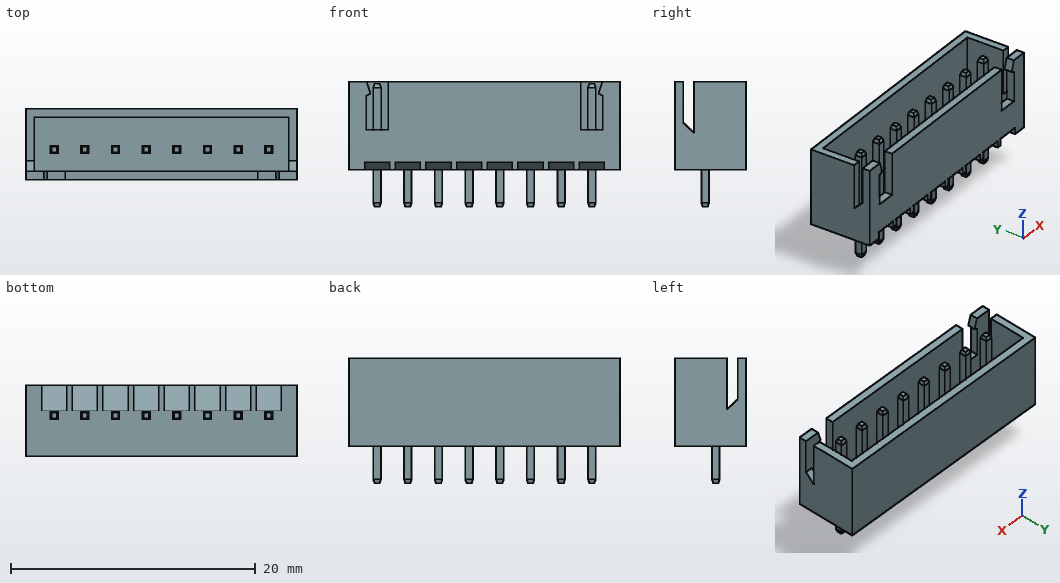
import cadquery as cq

length = 22.17
depth = 5.83
height = 7.2
wall = 0.7
floor_thickness = 0.67

pin_count = 8
pin_pitch = 2.5
pin_y = 2.48
pin_width = 0.65
pin_below = 3.02
pin_top_gap = 0.18
taper_length = 0.33
taper_inset = 0.1

slot_outer = 1.45
slot_inner = 3.21
slot_depth = 3.95
barb_top = 0.02
barb_reach = 0.33
barb_tip_depth = 0.98
barb_end_depth = 1.15

end_slot_back = 1.55
end_slot_front_depth = 3.35
end_slot_back_depth = 4.17

relief_width = 2.06
relief_height = 0.62
relief_depth = 2.06

pin_xs = [length / 2 + (i - (pin_count - 1) / 2) * pin_pitch for i in range(pin_count)]


def mirrored_pair(shape):
    """The shape together with its mirror image about the middle of the length."""
    return shape.union(shape.mirror("YZ", (length / 2, 0, 0)))


def housing():
    box = cq.Workplane("XY").box(length, depth, height, centered=False)
    cavity = cq.Workplane("XY").box(
        length - 2 * wall, depth - 2 * wall, height, centered=False
    ).translate((wall, wall, floor_thickness))
    return box.cut(cavity)


def latch_slot():
    outline = [
        (slot_inner, height),
        (slot_inner, height - slot_depth),
        (slot_outer, height - slot_depth),
        (slot_outer, height - barb_end_depth),
        (slot_outer + barb_reach, height - barb_tip_depth),
        (slot_outer + barb_top, height),
    ]
    return cq.Workplane("XZ").polyline(outline).close().extrude(-wall)


def end_slots():
    outline = [
        (wall, height),
        (wall, height - end_slot_front_depth),
        (end_slot_back, height - end_slot_back_depth),
        (end_slot_back, height),
    ]
    return mirrored_pair(cq.Workplane("YZ").polyline(outline).close().extrude(wall))


def relief(x):
    outline = [(0, 0), (relief_depth, 0), (0, relief_height)]
    wedge = cq.Workplane("YZ").polyline(outline).close().extrude(relief_width)
    return wedge.translate((x - relief_width / 2, 0, 0))


def pin(x):
    pin_length = height - pin_top_gap + pin_below
    bar = cq.Workplane("XY").rect(pin_width, pin_width).extrude(pin_length)
    bar = bar.faces("<Z or >Z").chamfer(taper_length, taper_inset)
    return bar.translate((x, pin_y, -pin_below))


result = housing().cut(mirrored_pair(latch_slot())).cut(end_slots())
for pin_x in pin_xs:
    result = result.cut(relief(pin_x)).union(pin(pin_x))